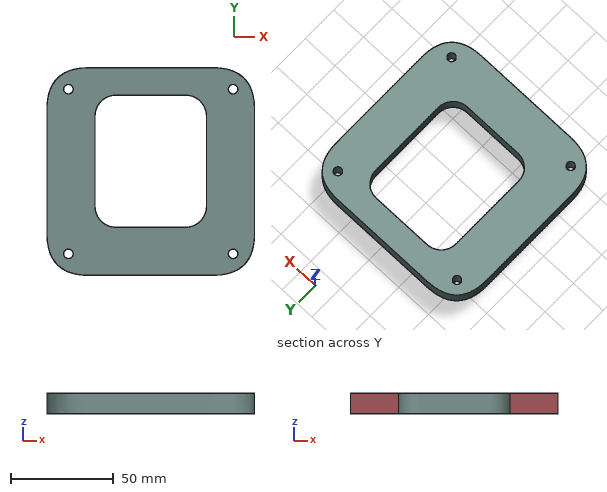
import cadquery as cq
import math

plate_size = 101.0
plate_thickness = 10.0
plate_sides = 4
plate_corner_length = 20.5

window_width = 54.0
window_length = 64.0
window_corner_radius = 10.0
window_offset_y = 5.0

hole_diameter = 4.5
hole_spacing = 80.0


def rotate(x, y, angle):
    """Turn the point (x, y) about the origin by an angle in radians."""
    cos_angle = math.cos(angle)
    sin_angle = math.sin(angle)
    return x * cos_angle - y * sin_angle, x * sin_angle + y * cos_angle


def make_plate():
    """Square plate whose corners are parabolic curves tangent to both sides."""
    half = plate_size / 2
    tangent = half - plate_corner_length
    profile = cq.Workplane("XY").moveTo(-tangent, -half)
    for turn in range(plate_sides):
        angle = turn * 2 * math.pi / plate_sides
        side_end = rotate(tangent, -half, angle)
        corner = rotate(half, -half, angle)
        next_side_start = rotate(half, -tangent, angle)
        profile = profile.lineTo(*side_end).bezier([side_end, corner, next_side_start])
    return profile.close().extrude(plate_thickness)


def make_window():
    """Rounded rectangular opening through the plate."""
    return (
        cq.Workplane("XY")
        .center(0, window_offset_y)
        .rect(window_width, window_length)
        .extrude(plate_thickness)
        .edges("|Z")
        .fillet(window_corner_radius)
    )


def make_mounting_holes():
    """Four through holes on a square pattern about the plate centre."""
    return (
        cq.Workplane("XY")
        .rect(hole_spacing, hole_spacing, forConstruction=True)
        .vertices()
        .circle(hole_diameter / 2)
        .extrude(plate_thickness)
    )


result = make_plate().cut(make_window()).cut(make_mounting_holes())